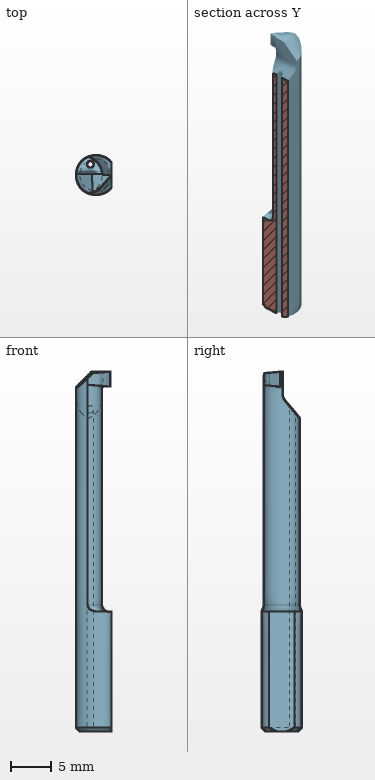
import cadquery as cq
import math


shank_diameter = 5.0
shank_radius = shank_diameter / 2
overall_length = 45.0
clamping_length = 15.0
flat_offset = 1.95
end_chamfer = 0.5

neck_front_x = 0.78
neck_edge_x = -1.03
neck_edge_y = math.sqrt(shank_radius**2 - neck_edge_x**2)
neck_center_x = (neck_front_x**2 - neck_edge_x**2 - neck_edge_y**2) / (2 * (neck_front_x - neck_edge_x))
neck_radius = neck_front_x - neck_center_x
runout_radius = 0.8

rake_y = 0.13
tip_rake_y = 0.0
tip_rake_start_x = 0.85
tip_x = 1.8
tip_land_y = -0.2
tip_height = 1.92
tip_bottom_z = overall_length - tip_height
flank_x = 0.62
flank_y = -1.5
nose_chamfer = 2.0
relief_angle = 5.0

gullet_corner_z = 41.7
gullet_slope_angle = 50.0
gullet_fillet = 1.2

coolant_diameter = 0.8
coolant_x = -0.7
coolant_y = 1.34

clearance = 3.0
reach = shank_radius + clearance
top_reach = overall_length + clearance


def make_shank():
    """Round bar, chamfered at the foot, with one flat along its +X side."""
    bar = cq.Workplane("XY").circle(shank_radius).extrude(overall_length)
    bar = bar.faces("<Z").edges().chamfer(end_chamfer)
    flat = (
        cq.Workplane("XY")
        .box(clearance, 2 * reach, overall_length, centered=(False, True, False))
        .translate((flat_offset, 0, 0))
    )
    return bar.cut(flat)


def make_neck_relief():
    """Ring around the neck arc with a rounded runout at the clamping end."""
    outer = neck_radius + reach
    ring = (
        cq.Workplane("XY")
        .workplane(offset=clamping_length)
        .circle(outer)
        .circle(neck_radius)
        .extrude(top_reach - clamping_length)
    )
    corner_arc_offset = runout_radius * (1 - math.sqrt(0.5))
    runout = (
        cq.Workplane("XZ")
        .moveTo(neck_radius, clamping_length)
        .lineTo(neck_radius + runout_radius, clamping_length)
        .threePointArc(
            (neck_radius + corner_arc_offset, clamping_length + corner_arc_offset),
            (neck_radius, clamping_length + runout_radius),
        )
        .close()
        .revolve(360, (0, 0, 0), (0, 1, 0))
    )
    return ring.cut(runout).translate((neck_center_x, 0, 0))


def make_head():
    """Cutting head: the plan outline, limited by a block with relief below and at the tip."""
    outline = (
        cq.Workplane("XY")
        .workplane(offset=tip_bottom_z - clearance)
        .moveTo(neck_edge_x, rake_y)
        .lineTo(tip_rake_start_x, rake_y)
        .lineTo(tip_rake_start_x, tip_rake_y)
        .lineTo(tip_x, tip_rake_y)
        .lineTo(tip_x, tip_land_y)
        .lineTo(flank_x, flank_y)
        .tangentArcPoint((neck_edge_x, -neck_edge_y), relative=False)
        .close()
        .extrude(tip_height + clearance)
    )
    block = (
        cq.Workplane("XZ", origin=(0, rake_y, 0))
        .moveTo(-shank_radius, tip_bottom_z)
        .lineTo(tip_x, tip_bottom_z)
        .lineTo(tip_x, top_reach)
        .lineTo(-shank_radius, top_reach)
        .close()
        .extrude(reach, taper=relief_angle)
    )
    return outline.intersect(block)


def make_end_trim():
    """Trims the end face and the 45 degree nose, both falling away behind the rake face."""
    nose_end_x = nose_chamfer - shank_radius
    return (
        cq.Workplane("XZ", origin=(0, rake_y, 0))
        .moveTo(-reach, overall_length - (nose_end_x + reach))
        .lineTo(nose_end_x, overall_length)
        .lineTo(reach, overall_length)
        .lineTo(reach, top_reach)
        .lineTo(-reach, top_reach)
        .close()
        .extrude(reach, taper=-relief_angle)
    )


def make_gullet():
    """Flat rake face that blends into a slope running out through the +Y side."""
    slope = math.radians(gullet_slope_angle)
    slope_end_z = gullet_corner_z - (reach - rake_y) * math.tan(slope)
    return (
        cq.Workplane("YZ")
        .moveTo(rake_y, top_reach)
        .lineTo(rake_y, gullet_corner_z)
        .lineTo(reach, slope_end_z)
        .lineTo(reach, top_reach)
        .close()
        .extrude(reach, both=True)
        .edges(cq.selectors.NearestToPointSelector((0, rake_y, gullet_corner_z)))
        .fillet(gullet_fillet)
    )


def make_coolant_bore():
    """Straight bore through the whole bar, parallel to its axis."""
    return (
        cq.Workplane("XY")
        .center(coolant_x, coolant_y)
        .circle(coolant_diameter / 2)
        .extrude(overall_length)
    )


result = make_shank().cut(make_neck_relief()).union(make_head())
result = result.cut(make_end_trim()).cut(make_gullet()).cut(make_coolant_bore())